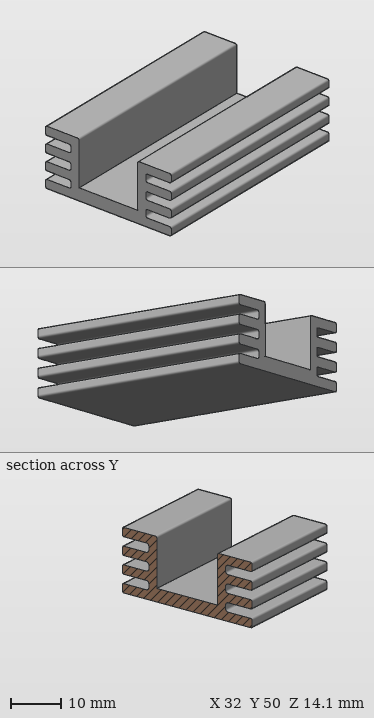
import cadquery as cq

width = 32.0
length = 50.0
height = 14.1

channel_width = 14.8
floor_thickness = 3.0

fin_count = 4
fin_thickness = 2.1
wall_thickness = 2.1
edge_radius = 0.5

fin_pitch = (height - fin_thickness) / (fin_count - 1)
slot_height = fin_pitch - fin_thickness
slot_depth = (width - channel_width) / 2 - wall_thickness


def bar(bar_width, bar_height, center_x, bottom_z):
    """Full-length rectangular bar, centred along Y."""
    return (
        cq.Workplane("XY")
        .box(bar_width, length, bar_height, centered=(True, True, False))
        .translate((center_x, 0, bottom_z))
    )


result = bar(width, height, 0, 0)
result = result.cut(bar(channel_width, height - floor_thickness, 0, floor_thickness))

for side in (-1, 1):
    for index in range(fin_count - 1):
        slot_x = side * (width - slot_depth) / 2
        slot_z = fin_thickness + index * fin_pitch
        result = result.cut(bar(slot_depth, slot_height, slot_x, slot_z))

channel_floor_corners = cq.selectors.BoxSelector(
    (-channel_width / 2 - edge_radius, -length, floor_thickness - edge_radius / 2),
    (channel_width / 2 + edge_radius, length, floor_thickness + edge_radius / 2),
)
rounded_edges = cq.selectors.SubtractSelector(
    cq.selectors.ParallelDirSelector(cq.Vector(0, 1, 0)), channel_floor_corners
)
result = result.edges(rounded_edges).fillet(edge_radius)